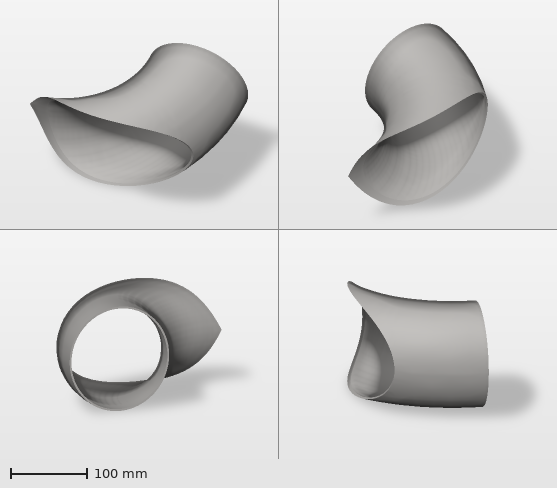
import cadquery as cq

overall_length = 259.8
pipe_diameter = 139.8
wall = 2.5
main_radius = 84.2
bend_angle = 90.0

pipe_radius = pipe_diameter / 2
bore_radius = pipe_radius - wall
bend_radius = overall_length - pipe_radius
inner_bend_radius = bend_radius - pipe_radius

main_axis_y = -(inner_bend_radius + main_radius)
cut_margin = 13.0


def make_bend():
    """Pipe ring in the plane y = 0, turned about the Z axis towards -Y."""
    return (
        cq.Workplane("XZ")
        .center(bend_radius, 0)
        .circle(pipe_radius)
        .circle(bore_radius)
        .revolve(bend_angle, (-bend_radius, 0, 0), (-bend_radius, -1, 0))
    )


def make_main_pipe():
    """Solid cylinder along X that shapes the coped mouth of the bend.

    Its seam faces +Z, clear of the bend, so the coped edge stays one face.
    """
    return (
        cq.Workplane("ZY", origin=(overall_length + cut_margin, main_axis_y, 0))
        .circle(main_radius)
        .extrude(overall_length + 2 * cut_margin)
    )


result = make_bend().cut(make_main_pipe())